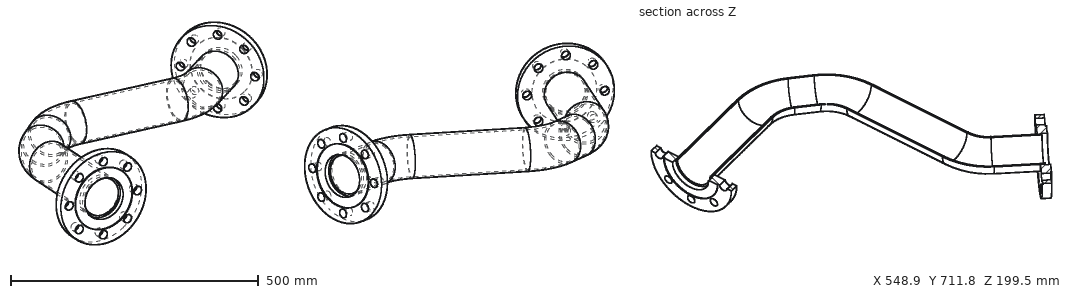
import cadquery as cq
import math

PIPE_OUTER = 89.0
PIPE_WALL = 4.0
BEND_RADIUS = 114.0
LOWER_BEND_ANGLE = 45.0
UPPER_BEND_ANGLE = 40.0

INLET_LENGTH = 201.0
DIAGONAL_LENGTH = 53.5
RISER_LENGTH = 237.0
OUTLET_LENGTH = 93.0

FLANGE_DIAMETER = 199.5
FLANGE_THICKNESS = 19.0
RAISED_FACE_DIAMETER = 133.0
RAISED_FACE_HEIGHT = 2.0
PIPE_RECESS = 11.5
BOLT_CIRCLE_DIAMETER = 159.5
BOLT_HOLE_DIAMETER = 18.0
BOLT_HOLE_COUNT = 8

FLANGE_DEPTH = FLANGE_THICKNESS + RAISED_FACE_HEIGHT
PIPE_INSERTION = FLANGE_DEPTH - PIPE_RECESS


def direction(heading):
    """Unit vector in the XY plane at a heading in degrees from +X."""
    angle = math.radians(heading)
    return cq.Vector(math.cos(angle), math.sin(angle), 0)


def cross_plane(point, heading):
    """Plane across the run, with its normal along the heading and its local Y along Z."""
    x_direction = direction(heading + 90)
    return cq.Plane(origin=point, xDir=x_direction, normal=direction(heading))


def pipe_section(point, heading):
    """Ring-shaped pipe cross-section."""
    outer_radius = PIPE_OUTER / 2
    return cq.Workplane(cross_plane(point, heading)).circle(outer_radius).circle(outer_radius - PIPE_WALL)


def straight_pipe(point, heading, length):
    return pipe_section(point, heading).extrude(length)


def bend_end(point, heading, turn):
    """Centre-line end of a bend; a positive turn is to the left."""
    side = math.copysign(BEND_RADIUS, turn)
    center = point + direction(heading + 90) * side
    return center - direction(heading + turn + 90) * side


def elbow(point, heading, turn):
    """Pipe section revolved about the vertical axis through the bend centre."""
    side = math.copysign(BEND_RADIUS, turn)
    return pipe_section(point, heading).revolve(abs(turn), (side, 0), (side, math.copysign(1, turn)))


def flange(back_point, heading):
    """Bolted flange whose raised sealing face points along the heading."""
    plane = cross_plane(back_point, heading)
    disc = cq.Workplane(plane).circle(FLANGE_DIAMETER / 2).extrude(FLANGE_THICKNESS)
    raised_face = cq.Workplane(plane).circle(RAISED_FACE_DIAMETER / 2).extrude(FLANGE_DEPTH)
    bore = cq.Workplane(plane).circle(PIPE_OUTER / 2).extrude(FLANGE_DEPTH)
    bolt_holes = (
        cq.Workplane(plane)
        .polarArray(BOLT_CIRCLE_DIAMETER / 2, 0, 360, BOLT_HOLE_COUNT)
        .circle(BOLT_HOLE_DIAMETER / 2)
        .extrude(FLANGE_THICKNESS)
    )
    return disc.union(raised_face).cut(bore).cut(bolt_holes)


INLET_HEADING = 180.0
DIAGONAL_HEADING = INLET_HEADING - LOWER_BEND_ANGLE
RISER_HEADING = DIAGONAL_HEADING - LOWER_BEND_ANGLE
OUTLET_HEADING = RISER_HEADING + UPPER_BEND_ANGLE

inlet_start = cq.Vector(0, 0, 0)
inlet_end = inlet_start + direction(INLET_HEADING) * INLET_LENGTH
diagonal_start = bend_end(inlet_end, INLET_HEADING, -LOWER_BEND_ANGLE)
diagonal_end = diagonal_start + direction(DIAGONAL_HEADING) * DIAGONAL_LENGTH
riser_start = bend_end(diagonal_end, DIAGONAL_HEADING, -LOWER_BEND_ANGLE)
riser_end = riser_start + direction(RISER_HEADING) * RISER_LENGTH
outlet_start = bend_end(riser_end, RISER_HEADING, UPPER_BEND_ANGLE)
outlet_end = outlet_start + direction(OUTLET_HEADING) * OUTLET_LENGTH

inlet_tip = inlet_start - direction(INLET_HEADING) * PIPE_INSERTION
straight_runs = [
    (inlet_tip, INLET_HEADING, INLET_LENGTH + PIPE_INSERTION),
    (diagonal_start, DIAGONAL_HEADING, DIAGONAL_LENGTH),
    (riser_start, RISER_HEADING, RISER_LENGTH),
    (outlet_start, OUTLET_HEADING, OUTLET_LENGTH + PIPE_INSERTION),
]
pipes = [straight_pipe(*run).val() for run in straight_runs]

bends = [
    (inlet_end, INLET_HEADING, -LOWER_BEND_ANGLE),
    (diagonal_end, DIAGONAL_HEADING, -LOWER_BEND_ANGLE),
    (riser_end, RISER_HEADING, UPPER_BEND_ANGLE),
]
elbows = [elbow(*bend).val() for bend in bends]

flange_places = [
    (inlet_start, INLET_HEADING + 180),
    (outlet_end, OUTLET_HEADING),
]
flanges = [flange(*place).val() for place in flange_places]

result = cq.Compound.makeCompound([*pipes, *elbows, *flanges])